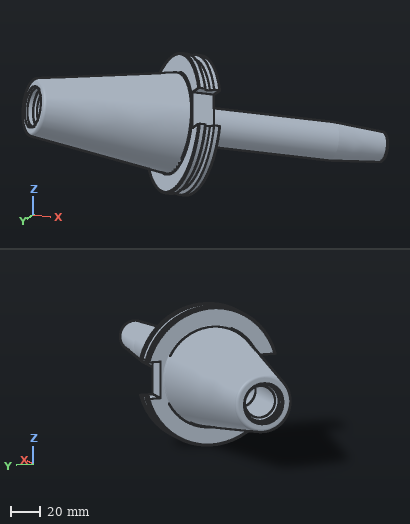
import cadquery as cq
import math

TOTAL_LENGTH = 261.5
FLANGE_START = 104.5
FLANGE_WIDTH = 16.2
FLANGE_END = FLANGE_START + FLANGE_WIDTH

TAPER_RATIO = 7 / 24
GAUGE_DIAMETER = 70.0
COLLAR_LENGTH = 1.8
COLLAR_ROOT_FILLET = 0.8
TAPER_LENGTH = FLANGE_START - COLLAR_LENGTH
SMALL_END_DIAMETER = GAUGE_DIAMETER - TAPER_RATIO * TAPER_LENGTH
SMALL_END_FILLET = 2.4

FLANGE_DIAMETER = 97.3
FLANGE_CHAMFER = 0.8
GROOVE_DEPTH = 3.1
GROOVE_FLOOR_WIDTH = 3.1
GROOVE_SIDE_ANGLE = 30.0
GROOVE_CENTER = FLANGE_START + FLANGE_WIDTH / 2

SLOT_WIDTH = 25.6
SLOT_FLOOR_PLUS_Y = 37.7
SLOT_FLOOR_MINUS_Y = 35.3

SHANK_DIAMETER = 27.0
SHANK_ROOT_FILLET = 2.0
NOSE_DIAMETER = 21.0
NOSE_HALF_ANGLE = 4.5
NOSE_CHAMFER = 1.3

MOUTH_DIAMETER = 28.8
MOUTH_CHAMFER_LENGTH = 1.5
COUNTERBORE_DIAMETER = 27.0
COUNTERBORE_DEPTH = 5.8
THREAD_CHAMFER_DIAMETER = 26.2
BORE_DIAMETER = 22.2
BORE_DEPTH = 47.0
DRILL_HALF_ANGLE = 59.0
COOLANT_DIAMETER = 5.0


def revolve_about_x(outline):
    return outline.close().revolve(360, (0, 0, 0), (1, 0, 0))


def taper_body():
    small_radius = SMALL_END_DIAMETER / 2
    gauge_radius = GAUGE_DIAMETER / 2
    fillet_middle = COLLAR_ROOT_FILLET * (1 - math.sqrt(0.5))
    outline = (
        cq.Workplane("XY")
        .lineTo(0, small_radius)
        .lineTo(TAPER_LENGTH, gauge_radius)
        .lineTo(FLANGE_START - COLLAR_ROOT_FILLET, gauge_radius)
        .threePointArc(
            (FLANGE_START - fillet_middle, gauge_radius + fillet_middle),
            (FLANGE_START, gauge_radius + COLLAR_ROOT_FILLET),
        )
        .lineTo(FLANGE_START, 0)
    )
    return revolve_about_x(outline).faces("<X").edges().fillet(SMALL_END_FILLET)


def gripper_groove():
    rim_radius = FLANGE_DIAMETER / 2
    floor_radius = rim_radius - GROOVE_DEPTH
    floor_half = GROOVE_FLOOR_WIDTH / 2
    mouth_half = floor_half + GROOVE_DEPTH * math.tan(math.radians(GROOVE_SIDE_ANGLE))
    outline = (
        cq.Workplane("XY")
        .moveTo(GROOVE_CENTER - mouth_half, rim_radius)
        .lineTo(GROOVE_CENTER - floor_half, floor_radius)
        .lineTo(GROOVE_CENTER + floor_half, floor_radius)
        .lineTo(GROOVE_CENTER + mouth_half, rim_radius)
    )
    return revolve_about_x(outline)


def drive_slot(side, floor):
    depth = FLANGE_DIAMETER / 2 - floor
    center_y = side * (floor + depth / 2)
    return (
        cq.Workplane("XY")
        .box(FLANGE_WIDTH, depth, SLOT_WIDTH)
        .translate((GROOVE_CENTER, center_y, 0))
    )


def flange():
    disc = (
        cq.Workplane("YZ", origin=(FLANGE_START, 0, 0))
        .circle(FLANGE_DIAMETER / 2)
        .extrude(FLANGE_WIDTH)
        .edges()
        .chamfer(FLANGE_CHAMFER)
    )
    grooved = disc.cut(gripper_groove())
    return grooved.cut(drive_slot(1, SLOT_FLOOR_PLUS_Y)).cut(drive_slot(-1, SLOT_FLOOR_MINUS_Y))


def shank():
    shank_radius = SHANK_DIAMETER / 2
    nose_radius = NOSE_DIAMETER / 2
    nose_length = (shank_radius - nose_radius) / math.tan(math.radians(NOSE_HALF_ANGLE))
    fillet_middle = SHANK_ROOT_FILLET * (1 - math.sqrt(0.5))
    outline = (
        cq.Workplane("XY")
        .moveTo(FLANGE_END, 0)
        .lineTo(FLANGE_END, shank_radius + SHANK_ROOT_FILLET)
        .threePointArc(
            (FLANGE_END + fillet_middle, shank_radius + fillet_middle),
            (FLANGE_END + SHANK_ROOT_FILLET, shank_radius),
        )
        .lineTo(TOTAL_LENGTH - nose_length, shank_radius)
        .lineTo(TOTAL_LENGTH, nose_radius)
        .lineTo(TOTAL_LENGTH, 0)
    )
    return revolve_about_x(outline).faces(">X").edges().chamfer(NOSE_CHAMFER)


def draw_bar_bore():
    bore_radius = BORE_DIAMETER / 2
    counterbore_radius = COUNTERBORE_DIAMETER / 2
    thread_chamfer_radius = THREAD_CHAMFER_DIAMETER / 2
    mouth_radius = MOUTH_DIAMETER / 2
    thread_chamfer_end = COUNTERBORE_DEPTH + thread_chamfer_radius - bore_radius
    cone_length = bore_radius / math.tan(math.radians(DRILL_HALF_ANGLE))
    outline = (
        cq.Workplane("XY")
        .lineTo(0, mouth_radius)
        .lineTo(MOUTH_CHAMFER_LENGTH, counterbore_radius)
        .lineTo(COUNTERBORE_DEPTH, counterbore_radius)
        .lineTo(COUNTERBORE_DEPTH, thread_chamfer_radius)
        .lineTo(thread_chamfer_end, bore_radius)
        .lineTo(BORE_DEPTH, bore_radius)
        .lineTo(BORE_DEPTH + cone_length, 0)
    )
    return revolve_about_x(outline)


coolant_hole = cq.Workplane("YZ").circle(COOLANT_DIAMETER / 2).extrude(TOTAL_LENGTH)

result = taper_body().union(flange()).union(shank()).cut(draw_bar_bore()).cut(coolant_hole)